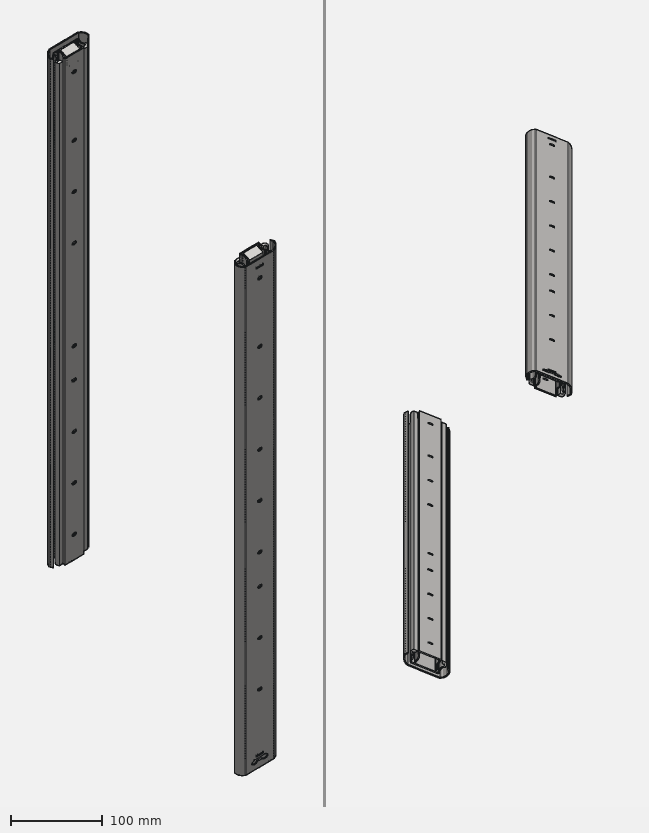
import cadquery as cq
import math


PAIR_WIDTH = 364.0
RAIL_LENGTH = 950.0
SLIDE_HEIGHT = 54.0
SLIDE_DEPTH = 20.0
SHEET = 1.4

OUTER_WEB_HALF = 19.0
BEVEL_ANGLE = math.radians(24)
BEVEL_DEPTH = 0.8
LIP_ANGLE = math.radians(39)
LIP_LENGTH = 5.0

MIDDLE_BACK = 3.0
MIDDLE_FRONT = 18.5
MIDDLE_WEB_HALF = 16.0
SHOULDER = (5.0, 18.0)
TRACK_LOW = (9.0, 17.0)
CROWN_START = (12.8, 21.0)
CROWN_MIDDLE = (16.0, 21.0)
CROWN_END_V = 19.0
HOOK_BACK = 15.0
HOOK_BACK_V = 16.0
HOOK_TIP_V = 14.0
TRACK_INSIDE_START = 13.0
TRACK_INSIDE_LOW = (9.0, 15.7)
TRACK_INSIDE_END = (5.2, 16.6)
MIDDLE_TOP = 468.0
MIDDLE_BOTTOM = -470.0

INNER_HALF = 12.8
INNER_BACK = 6.0
INNER_LENGTH = 946.0
GROOVE_DEPTH = 1.4
GROOVE_START = 8.0
GROOVE_END = 16.0

STOP_BACK = 7.0
STOP_HALF = 9.0
STOP_TOP = 472.0
STOP_LENGTH = 19.0

HOLE_DIAMETER = 5.8
HOLE_TOP = 439.0
HOLE_PITCH = 32.0
OUTER_HOLE_STEPS = (0, 4, 7, 10, 13, 16, 18, 21, 24)
INNER_HOLE_STEPS = (0, 4, 7, 10, 16, 18, 21, 24, 27)

SLOT_WIDTH = 9.5
SLOT_HEIGHT = 3.0
SLOT_LEVELS = (461.0, -451.0)
LATCH_HOLE_DIAMETER = 8.0
LATCH_HOLE_OFFSET = 7.1
LATCH_HOLE_LEVEL = -461.0
LATCH_BRIDGE_HEIGHT = 6.0
LATCH_BRIDGE_LEVEL = -459.0


def polar(center, radius, angle):
    """Point on a circle, with the angle turning from the outer face (-u) toward +v."""
    return (center[0] - radius * math.cos(angle), center[1] + radius * math.sin(angle))


def extrude_rail(outline, bottom, top):
    """Extrude the upper half of a section and add its mirror image across v = 0."""
    upper = outline.close().extrude(top - bottom).translate((0, 0, bottom))
    return upper.union(upper.mirror("XZ"))


def cut_window(rail, u_start, width, height, level):
    """Cut a rectangular window, centred on v = 0, through a web that starts at u_start."""
    cutter = cq.Workplane("XY").box(3 * SHEET, width, height)
    return rail.cut(cutter.translate((u_start + SHEET / 2, 0, level)))


def drill_web(rail, u_start, diameter, places):
    """Drill round holes at the given (v, z) places through a web that starts at u_start."""
    drills = cq.Workplane("YZ", origin=(u_start - SHEET, 0, 0)).pushPoints(places)
    return rail.cut(drills.circle(diameter / 2).extrude(3 * SHEET))


def screw_places(steps):
    """Hole places on the middle plane for the given numbers of pitches below the top hole."""
    return [(0, HOLE_TOP - step * HOLE_PITCH) for step in steps]


def outer_section():
    """Flat web, short bevel, round flange over the balls and a straight lip."""
    half = SLIDE_HEIGHT / 2
    bevel_end = (BEVEL_DEPTH, OUTER_WEB_HALF + BEVEL_DEPTH / math.tan(BEVEL_ANGLE))
    radius = (half - bevel_end[1]) / (1 - math.sin(BEVEL_ANGLE))
    center = (bevel_end[0] + radius * math.cos(BEVEL_ANGLE), half - radius)
    crown = math.pi / 2
    middle = (BEVEL_ANGLE + crown) / 2
    inside = radius - SHEET
    lip = (LIP_LENGTH * math.cos(LIP_ANGLE), -LIP_LENGTH * math.sin(LIP_ANGLE))
    lip_end = (center[0] + lip[0], half + lip[1])
    lip_inside = (lip_end[0] - SHEET * math.sin(LIP_ANGLE), lip_end[1] - SHEET * math.cos(LIP_ANGLE))
    return (
        cq.Workplane("XY")
        .moveTo(0, 0)
        .lineTo(0, OUTER_WEB_HALF)
        .lineTo(*bevel_end)
        .threePointArc(polar(center, radius, middle), polar(center, radius, crown))
        .lineTo(*lip_end)
        .lineTo(*lip_inside)
        .lineTo(*polar(center, inside, crown))
        .threePointArc(polar(center, inside, middle), polar(center, inside, BEVEL_ANGLE))
        .lineTo(SHEET, OUTER_WEB_HALF)
        .lineTo(SHEET, 0)
    )


def make_outer_rail():
    rail = extrude_rail(outer_section(), -RAIL_LENGTH / 2, RAIL_LENGTH / 2)
    rail = drill_web(rail, 0, HOLE_DIAMETER, screw_places(OUTER_HOLE_STEPS))
    for level in SLOT_LEVELS:
        rail = cut_window(rail, 0, SLOT_WIDTH, SLOT_HEIGHT, level)
    latch_places = [(side * LATCH_HOLE_OFFSET, LATCH_HOLE_LEVEL) for side in (-1, 1)]
    rail = drill_web(rail, 0, LATCH_HOLE_DIAMETER, latch_places)
    return cut_window(rail, 0, 2 * LATCH_HOLE_OFFSET, LATCH_BRIDGE_HEIGHT, LATCH_BRIDGE_LEVEL)


def middle_section():
    """Web, hollow outer ball track, then a crown that hooks down at the front."""
    return (
        cq.Workplane("XY")
        .moveTo(MIDDLE_BACK, 0)
        .lineTo(MIDDLE_BACK, MIDDLE_WEB_HALF)
        .lineTo(*SHOULDER)
        .threePointArc(TRACK_LOW, CROWN_START)
        .threePointArc(CROWN_MIDDLE, (MIDDLE_FRONT, CROWN_END_V))
        .lineTo(MIDDLE_FRONT, HOOK_TIP_V)
        .lineTo(HOOK_BACK, HOOK_BACK_V)
        .lineTo(HOOK_BACK, CROWN_END_V)
        .lineTo(TRACK_INSIDE_START, CROWN_END_V)
        .threePointArc(TRACK_INSIDE_LOW, TRACK_INSIDE_END)
        .lineTo(MIDDLE_BACK + SHEET, TRACK_INSIDE_LOW[1])
        .lineTo(MIDDLE_BACK + SHEET, 0)
    )


def make_middle_rail():
    return extrude_rail(middle_section(), MIDDLE_BOTTOM, MIDDLE_TOP)


def inner_section():
    """Channel with its web facing the other slide and a ball groove in each flange."""
    groove_middle = (GROOVE_START + GROOVE_END) / 2
    below = INNER_HALF - SHEET
    return (
        cq.Workplane("XY")
        .moveTo(SLIDE_DEPTH, 0)
        .lineTo(SLIDE_DEPTH, INNER_HALF)
        .lineTo(GROOVE_END, INNER_HALF)
        .threePointArc((groove_middle, INNER_HALF - GROOVE_DEPTH), (GROOVE_START, INNER_HALF))
        .lineTo(INNER_BACK, INNER_HALF)
        .lineTo(INNER_BACK, below)
        .lineTo(GROOVE_START, below)
        .threePointArc((groove_middle, below - GROOVE_DEPTH), (GROOVE_END, below))
        .lineTo(SLIDE_DEPTH - SHEET, below)
        .lineTo(SLIDE_DEPTH - SHEET, 0)
    )


def make_inner_rail():
    rail = extrude_rail(inner_section(), -INNER_LENGTH / 2, INNER_LENGTH / 2)
    return drill_web(rail, SLIDE_DEPTH - SHEET, HOLE_DIAMETER, screw_places(INNER_HOLE_STEPS))


def make_stop_block():
    depth = SLIDE_DEPTH - SHEET - STOP_BACK
    block = cq.Workplane("XY").box(depth, 2 * STOP_HALF, STOP_LENGTH, centered=(False, True, False))
    return block.translate((STOP_BACK, 0, STOP_TOP - STOP_LENGTH))


bodies = []
for make_body in (make_outer_rail, make_middle_rail, make_inner_rail, make_stop_block):
    left_body = make_body().translate((-PAIR_WIDTH / 2, 0, 0)).solids()
    bodies.append(left_body.val())
    bodies.append(left_body.mirror("YZ").solids().val())

result = cq.Compound.makeCompound(bodies)